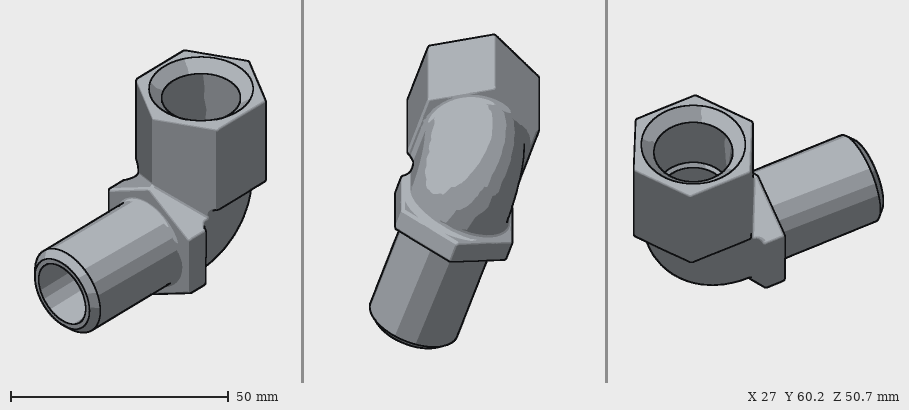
import cadquery as cq
import math

HEX_FLATS = 27.0
HEX_CORNERS = HEX_FLATS / math.cos(math.radians(30))
SOCKET_TOP = 35.22
SOCKET_BOTTOM = 11.3
FLANGE_BACK = -SOCKET_BOTTOM
FLANGE_FRONT = -16.95
EDGE_RADIUS = 0.8

ELBOW_RADIUS = 11.7
BEND_RADIUS = 9.5
ROOT_RADIUS = 1.5

SPIGOT_DIAMETER = 21.4
SPIGOT_END = -44.74
SPIGOT_CHAMFER = 1.75

BORE_DIAMETER = 15.37
TAPER_TOP_DIAMETER = 18.1
TAPER_BOTTOM_DIAMETER = 17.1
TAPER_LENGTH = 16.0
TAPER_BOTTOM = SOCKET_TOP - TAPER_LENGTH
MOUTH_DIAMETER = 23.9
MOUTH_DEPTH = 2.6

SELECTION_MARGIN = 0.05


def socket_prism(bottom, top):
    """Upright hexagon with corners on the Y axis and flats facing +-X."""
    hexagon = cq.Workplane("XY").workplane(offset=bottom).polygon(6, HEX_CORNERS)
    return hexagon.extrude(top - bottom).rotate((0, 0, 0), (0, 0, 1), 90)


def flange_prism(front, back):
    """Hexagon along Y with corners up and down and flats facing +-X."""
    hexagon = cq.Workplane("XZ", origin=(0, back, 0)).polygon(6, HEX_CORNERS)
    return hexagon.extrude(back - front).rotate((0, 0, 0), (0, 1, 0), 90)


def elbow_section(plane, outward):
    """Section that is round on the outside of the bend and flat-sided towards the inner corner."""
    inner = -outward * BEND_RADIUS
    return (
        plane.moveTo(-ELBOW_RADIUS, inner)
        .lineTo(-ELBOW_RADIUS, 0)
        .threePointArc((0, outward * ELBOW_RADIUS), (ELBOW_RADIUS, 0))
        .lineTo(ELBOW_RADIUS, inner)
        .close()
    )


def elbow():
    """Quarter bend with short straight ends and a filled inner corner, kept inside both hexagons."""
    upper_plane = cq.Workplane("XY", origin=(0, 0, BEND_RADIUS))
    front_plane = cq.Workplane("XZ", origin=(0, -BEND_RADIUS, 0))
    bend = elbow_section(upper_plane, 1).revolve(90, (0, -BEND_RADIUS, 0), (-1, -BEND_RADIUS, 0))
    upper_end = elbow_section(upper_plane, 1).extrude(SOCKET_BOTTOM - BEND_RADIUS)
    front_end = elbow_section(front_plane, -1).extrude(SOCKET_BOTTOM - BEND_RADIUS)
    reach = HEX_CORNERS / 2
    corner_size = reach - BEND_RADIUS
    corner = (
        cq.Workplane("XY")
        .box(2 * ELBOW_RADIUS, corner_size, corner_size, centered=(True, False, False))
        .translate((0, -reach, BEND_RADIUS))
    )
    blank = bend.union(upper_end).union(front_end).union(corner)
    envelope = socket_prism(-reach, reach).union(flange_prism(-reach, reach))
    return blank.intersect(envelope)


def edges_in_box(limit, y_range, z_range):
    """Selector for edges lying wholly inside a box, with a small margin all round."""
    low = (-limit - SELECTION_MARGIN, y_range[0] - SELECTION_MARGIN, z_range[0] - SELECTION_MARGIN)
    high = (limit + SELECTION_MARGIN, y_range[1] + SELECTION_MARGIN, z_range[1] + SELECTION_MARGIN)
    return cq.selectors.BoxSelector(low, high, boundingbox=True)


def in_socket_plane(z, limit=HEX_CORNERS):
    """Selector for edges in a horizontal plane, within a limit either side of the Z axis."""
    return edges_in_box(limit, (-limit, limit), (z, z))


def in_flange_plane(y, limit=HEX_CORNERS):
    """Selector for edges in a plane across Y, within a limit either side of the Y axis."""
    return edges_in_box(limit, (y, y), (-limit, limit))


def is_full_hex_side(edge):
    return math.isclose(edge.Length(), HEX_CORNERS / 2, abs_tol=SELECTION_MARGIN)


def is_collar_seam(edge):
    """Straight edge where the sloping faces of the two collars meet, mirrored about y = -z."""
    ends = (edge.startPoint(), edge.endPoint())
    mirrored = all(abs(end.y + end.z) < SELECTION_MARGIN for end in ends)
    return mirrored and edge.geomType() == "LINE" and edge.Length() > HEX_CORNERS / 4


def is_socket_corner(edge):
    return edge.Center().z > SOCKET_BOTTOM


def is_flange_corner(edge):
    """Corner edge of the flange, except the top one that runs into the socket."""
    center = edge.Center()
    return center.y < FLANGE_BACK and center.z < HEX_FLATS / 2


def outer_body():
    """Both collars and the elbow with their blends."""
    socket = socket_prism(SOCKET_BOTTOM, SOCKET_TOP)
    flange = flange_prism(FLANGE_FRONT, FLANGE_BACK)
    body = socket.union(flange).union(elbow()).clean()

    socket_root = body.edges(in_socket_plane(SOCKET_BOTTOM, ELBOW_RADIUS))
    flange_root = body.edges(in_flange_plane(FLANGE_BACK, ELBOW_RADIUS))
    body = socket_root.add(flange_root).fillet(ROOT_RADIUS)

    socket_rim = body.edges(in_socket_plane(SOCKET_BOTTOM)).filter(is_full_hex_side)
    flange_rim = body.edges(in_flange_plane(FLANGE_BACK)).filter(is_full_hex_side)
    body = socket_rim.add(flange_rim).fillet(EDGE_RADIUS)

    body = body.edges().filter(is_collar_seam).fillet(EDGE_RADIUS)

    outer_edges = body.edges(in_socket_plane(SOCKET_TOP))
    outer_edges = outer_edges.add(body.edges(in_flange_plane(FLANGE_FRONT)))
    outer_edges = outer_edges.add(body.edges("|Z").filter(is_socket_corner))
    outer_edges = outer_edges.add(body.edges("|Y").filter(is_flange_corner))
    return outer_edges.fillet(EDGE_RADIUS)


def add_spigot(body):
    """Round spigot with a chamfered tip and a small fillet against the flange."""
    radius = SPIGOT_DIAMETER / 2
    plane = cq.Workplane("XZ", origin=(0, FLANGE_BACK, 0))
    spigot = plane.circle(radius).extrude(FLANGE_BACK - SPIGOT_END)
    spigot = spigot.faces("<Y").chamfer(SPIGOT_CHAMFER)
    joined = body.union(spigot)
    return joined.edges(in_flange_plane(FLANGE_FRONT, radius)).fillet(EDGE_RADIUS)


def passage():
    """Countersunk tapered socket bore, a quarter bend and the spigot bore."""
    bore_radius = BORE_DIAMETER / 2
    taper_radius = TAPER_BOTTOM_DIAMETER / 2
    step = taper_radius - bore_radius
    socket_bore = (
        cq.Workplane("XZ")
        .moveTo(0, BEND_RADIUS)
        .lineTo(bore_radius, BEND_RADIUS)
        .lineTo(bore_radius, TAPER_BOTTOM - step)
        .lineTo(taper_radius, TAPER_BOTTOM)
        .lineTo(TAPER_TOP_DIAMETER / 2, SOCKET_TOP - MOUTH_DEPTH)
        .lineTo(MOUTH_DIAMETER / 2, SOCKET_TOP)
        .lineTo(0, SOCKET_TOP)
        .close()
        .revolve(360, (0, 0, 0), (0, 1, 0))
    )
    upper_plane = cq.Workplane("XY", origin=(0, 0, BEND_RADIUS))
    bend = upper_plane.circle(bore_radius).revolve(90, (0, -BEND_RADIUS, 0), (-1, -BEND_RADIUS, 0))
    front_plane = cq.Workplane("XZ", origin=(0, -BEND_RADIUS, 0))
    spigot_bore = front_plane.circle(bore_radius).extrude(-BEND_RADIUS - SPIGOT_END)
    return socket_bore.union(bend).union(spigot_bore)


result = add_spigot(outer_body()).cut(passage())